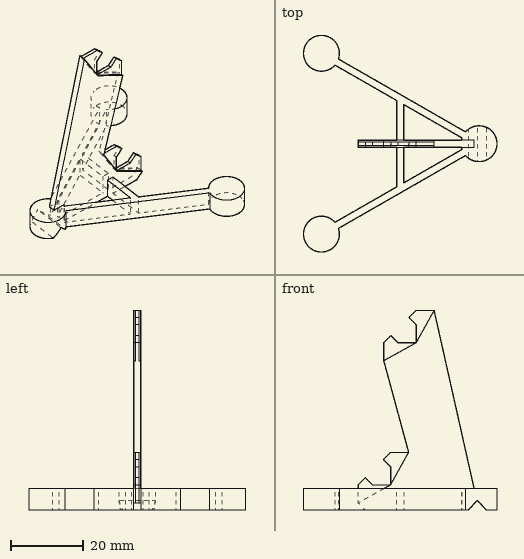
import cadquery as cq

base_height = 6.0
foot_radius = 5.0
foot_span_x = 43.7
foot_half_spacing = 25.055
arm_width = 2.0
cross_bar_x = -foot_span_x / 2

notch_center_x = -0.5
notch_half_width = 2.5
notch_height = 2.7

plate_thickness = 2.0
plate_height = 55.4
plate_top_x = -12.45
plate_front_x = 0.0

hook_thickness = 1.0
hook_width = 14.0
hook_drop = 14.0
hook_depth = 5.0
barb = 2.0
step_height = 9.0
hook_root_depth = 1.0
lower_hook_shift_x = -7.1
lower_hook_height = 16.0

rear_foot_x = -foot_span_x
rear_feet = [(rear_foot_x, foot_half_spacing), (rear_foot_x, -foot_half_spacing)]

upper_tip = (plate_top_x, plate_height)
lower_tip = (plate_top_x + lower_hook_shift_x, lower_hook_height)


def hook_heel(tip):
    """Lower rear corner of the stepped edge that carries a hook."""
    return (tip[0] - hook_width, tip[1] - hook_drop)


def extrude_profile(points, thickness):
    """Solid of an XZ outline, centred on Y = 0."""
    return cq.Workplane("XZ").polyline(points).close().extrude(thickness / 2, both=True)


def make_foot(center):
    """Round foot standing on Z = 0."""
    return cq.Workplane("XY").center(*center).circle(foot_radius).extrude(base_height)


def make_arm(rear_center):
    """Straight bar from the front foot at the origin to a rear foot."""
    line = cq.Edge.makeLine(cq.Vector(0, 0, 0), cq.Vector(*rear_center, 0))
    direction = line.tangentAt(0)
    plane = cq.Plane(origin=line.Center().toTuple(), xDir=direction.toTuple(), normal=(0, 0, 1))
    return cq.Workplane(plane).rect(line.Length(), arm_width).extrude(base_height)


def make_cross_bar():
    """Bar along Y that ends on the centre lines of both arms."""
    length = 2 * foot_half_spacing * cross_bar_x / rear_foot_x
    bar = cq.Workplane("XY").center(cross_bar_x, 0)
    return bar.rect(arm_width, length).extrude(base_height)


def make_notch():
    """Triangular prism for the V-shaped channel that runs along Y under the front foot."""
    points = [
        (notch_center_x - notch_half_width, 0),
        (notch_center_x + notch_half_width, 0),
        (notch_center_x, notch_height),
    ]
    return extrude_profile(points, 2 * foot_radius)


def step_corner(tip):
    """Inner corner of the step, where a hook meets the plate."""
    return (tip[0] - hook_depth, tip[1] - step_height)


def make_plate():
    """Leaning upright with a stepped edge behind each hook."""
    upper_heel = hook_heel(upper_tip)
    lower_heel = hook_heel(lower_tip)
    base_rear = (lower_heel[0] + lower_heel[1], 0)
    points = [
        upper_tip,
        step_corner(upper_tip),
        upper_heel,
        lower_tip,
        step_corner(lower_tip),
        lower_heel,
        base_rear,
        (plate_front_x, 0),
    ]
    return extrude_profile(points, plate_thickness)


def make_hook(tip):
    """Two barbed prongs framing a step, set in the stepped edge below tip."""
    heel_x, heel_z = hook_heel(tip)
    wall_x, step_z = step_corner(tip)
    top_z = tip[1]
    points = [
        tip,
        (wall_x, top_z),
        (wall_x - barb, top_z - barb),
        (wall_x, top_z - 2 * barb),
        (wall_x, step_z),
        (heel_x + 2 * barb, step_z),
        (heel_x + barb, step_z + barb),
        (heel_x, step_z),
        (heel_x, heel_z),
        (wall_x + hook_root_depth, step_z - hook_root_depth),
    ]
    return extrude_profile(points, hook_thickness)


def make_part():
    """Join the base, the plate and both hooks, then cut the notch."""
    part = make_foot((0, 0)).union(make_cross_bar()).union(make_plate())
    for center in rear_feet:
        part = part.union(make_foot(center)).union(make_arm(center))
    for tip in (upper_tip, lower_tip):
        part = part.union(make_hook(tip))
    return part.cut(make_notch())


result = make_part()